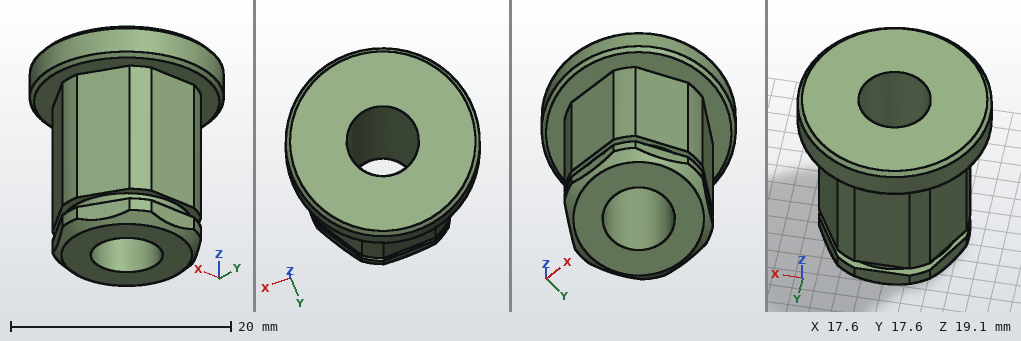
import cadquery as cq
import math

total_height = 19.05
flange_diameter = 17.65
flange_thickness = 3.2
flange_chamfer = 0.4

across_flats = 12.8
corner_diameter = 13.77
end_chamfer = 0.95

groove_diameter = 12.0
groove_bottom = 2.15
groove_width = 1.0
bore_diameter = 6.55

body_height = total_height - flange_thickness


def make_flange():
    disc = cq.Workplane("XY").workplane(offset=body_height).circle(flange_diameter / 2)
    return disc.extrude(flange_thickness).edges().chamfer(flange_chamfer)


def make_body():
    """Hexagonal prism trimmed by a cylinder that is chamfered at its lower end."""
    hexagon_diameter = across_flats / math.cos(math.pi / 6)
    prism = cq.Workplane("XY").polygon(6, hexagon_diameter).extrude(body_height)
    envelope = cq.Workplane("XY").circle(corner_diameter / 2).extrude(body_height)
    return prism.intersect(envelope.faces("<Z").chamfer(end_chamfer))


def make_groove():
    ring = cq.Workplane("XY").workplane(offset=groove_bottom)
    return ring.circle(flange_diameter / 2).circle(groove_diameter / 2).extrude(groove_width)


def make_bore():
    return cq.Workplane("XY").circle(bore_diameter / 2).extrude(total_height)


result = make_body().cut(make_groove()).union(make_flange()).cut(make_bore())